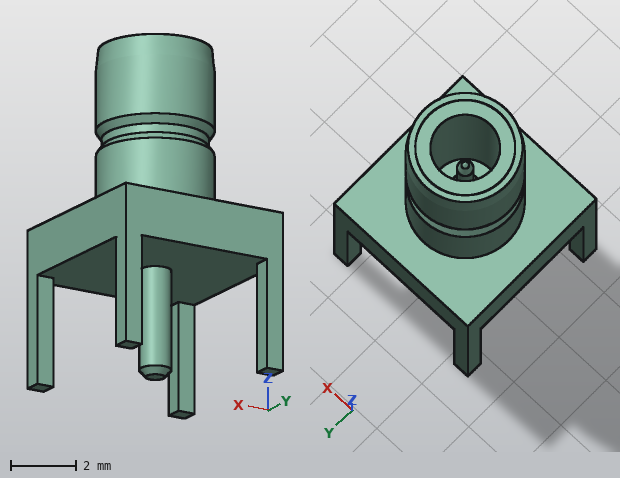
import cadquery as cq

base_side = 5.7
base_bottom = 3.51
base_top = 5.1
leg_side = 0.58

total_height = 10.6
barrel_radius = 1.83
mouth_radius = 1.76
taper_start = 9.91
groove_radius = 1.65
groove_upper_edge = 8.01
groove_ceiling = 7.75
groove_floor = 7.46
groove_lower_edge = 7.23
groove_rim_start = 7.15
groove_rim_radius = 1.82

recess_radius = 1.54
recess_depth = 0.04
bore_radius = 1.07
bore_floor = 6.04

contact_base_radius = 0.46
contact_base_top = 6.57
contact_radius = 0.25
contact_shoulder = 8.48
contact_nose_radius = 0.12
contact_nose_start = 8.8
contact_tip = 8.9

pin_radius = 0.5
pin_bottom = 0.08
pin_chamfer_top = 0.31
pin_tip_radius = 0.3


def cylinder(radius, bottom, top):
    return cq.Workplane("XY").workplane(offset=bottom).circle(radius).extrude(top - bottom)


def revolve_about_z(profile):
    """Revolve a closed (radius, height) outline around the part's axis."""
    return cq.Workplane("XZ").polyline(profile).close().revolve(360, (0, 0), (0, 1))


def make_base():
    block = cq.Workplane("XY").workplane(offset=base_bottom).rect(base_side, base_side)
    block = block.extrude(base_top - base_bottom)
    leg_spacing = base_side - leg_side
    legs = cq.Workplane("XY").rect(leg_spacing, leg_spacing, forConstruction=True).vertices()
    legs = legs.rect(leg_side, leg_side).extrude(base_bottom)
    return block.union(legs)


def make_barrel():
    barrel = revolve_about_z([
        (0, base_top),
        (barrel_radius, base_top),
        (barrel_radius, groove_rim_start),
        (groove_rim_radius, groove_lower_edge),
        (groove_radius, groove_floor),
        (groove_radius, groove_ceiling),
        (barrel_radius, groove_upper_edge),
        (barrel_radius, taper_start),
        (mouth_radius, total_height),
        (0, total_height),
    ])
    recess = cylinder(recess_radius, total_height - recess_depth, total_height)
    bore = cylinder(bore_radius, bore_floor, total_height)
    return barrel.cut(recess).cut(bore)


def make_contact():
    return revolve_about_z([
        (0, bore_floor),
        (contact_base_radius, bore_floor),
        (contact_base_radius, contact_base_top),
        (contact_radius, contact_base_top),
        (contact_radius, contact_shoulder),
        (contact_nose_radius, contact_nose_start),
        (0, contact_tip),
    ])


def make_solder_pin():
    return revolve_about_z([
        (0, pin_bottom),
        (pin_tip_radius, pin_bottom),
        (pin_radius, pin_chamfer_top),
        (pin_radius, base_bottom),
        (0, base_bottom),
    ])


result = make_base().union(make_barrel()).union(make_contact()).union(make_solder_pin())